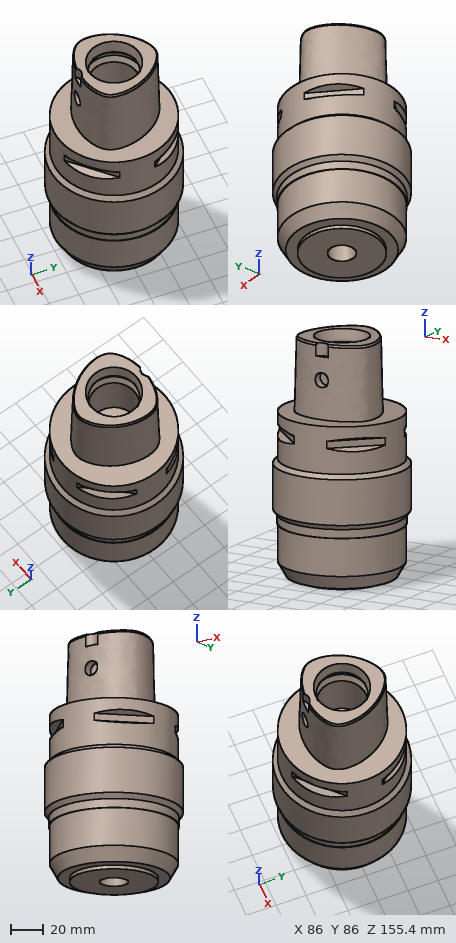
import cadquery as cq
import math

TOTAL_HEIGHT = 155.4
NOSE_TOP = 2.5
LOWER_TAPER_TOP = 11.5
RING_BOTTOM = 35.9
RING_TOP = 41.6
COLLAR_BOTTOM = 44.9
COLLAR_TOP = 74.1
FLANGE_BOTTOM = 77.0
SHANK_LENGTH = 48.2
SHANK_BOTTOM = TOTAL_HEIGHT - SHANK_LENGTH

NOSE_DIAMETER = 55.0
LOWER_TAPER_DIAMETER = 69.6
FLANGE_DIAMETER = 79.9
RING_DIAMETER = 80.8
COLLAR_DIAMETER = 86.0

SHANK_RADIUS = 27.5
LOBE_HEIGHT = 2.0
SHANK_TAPER = 1 / 40
RIM_HEIGHT = 1.4
RIM_INSET = 0.8
OUTLINE_POINTS = 48

MOUTH_DIAMETER = 35.1
BORE_DIAMETER = 32.0
UNDERCUT_DIAMETER = 37.0
THROUGH_DIAMETER = 17.9
MOUTH_DEPTH = 6.4
LAND_DEPTH = 8.0
UNDERCUT_TOP_DEPTH = 11.2
UNDERCUT_BOTTOM_DEPTH = 13.7
LOWER_BORE_DEPTH = 17.1
BORE_DEPTH = SHANK_LENGTH

NOTCH_RADIUS = 5.7
NOTCH_HEIGHT = 8.1
NOTCH_REACH = 21.9
SIDE_HOLE_DIAMETER = 9.3
SIDE_HOLE_DROP = 23.0
SIDE_HOLE_REACH = 18.6

GROOVE_COUNT = 4
FLOOR_DISTANCE = 35.3
FLOOR_HEIGHT = 4.5
GROOVE_MOUTH_HEIGHT = 8.5
GROOVE_LEVEL = 95.4


def revolve_profile(profile):
    """Turn a closed (radius, height) outline about the Z axis."""
    return cq.Workplane("XZ").polyline(profile).close().revolve(360, (0, 0), (0, 1))


def make_body():
    """Turned body below the shank, as a revolved half profile."""
    profile = [
        (0, 0),
        (NOSE_DIAMETER / 2, 0),
        (NOSE_DIAMETER / 2, NOSE_TOP),
        (LOWER_TAPER_DIAMETER / 2, NOSE_TOP),
        (FLANGE_DIAMETER / 2, LOWER_TAPER_TOP),
        (FLANGE_DIAMETER / 2, RING_BOTTOM),
        (RING_DIAMETER / 2, RING_BOTTOM),
        (RING_DIAMETER / 2, RING_TOP),
        (COLLAR_DIAMETER / 2, COLLAR_BOTTOM),
        (COLLAR_DIAMETER / 2, COLLAR_TOP),
        (FLANGE_DIAMETER / 2, FLANGE_BOTTOM),
        (FLANGE_DIAMETER / 2, SHANK_BOTTOM),
        (0, SHANK_BOTTOM),
    ]
    return revolve_profile(profile)


def lobed_wire(mean_radius, level):
    """Constant-width three-lobed curve with one lobe towards +Y."""
    points = []
    for i in range(OUTLINE_POINTS):
        angle = 2 * math.pi * i / OUTLINE_POINTS
        support = mean_radius - LOBE_HEIGHT * math.sin(3 * angle)
        slope = -3 * LOBE_HEIGHT * math.cos(3 * angle)
        x = support * math.cos(angle) - slope * math.sin(angle)
        y = support * math.sin(angle) + slope * math.cos(angle)
        points.append(cq.Vector(x, y, level))
    return cq.Wire.assembleEdges([cq.Edge.makeSpline(points, periodic=True)])


def make_shank():
    rim_level = TOTAL_HEIGHT - RIM_HEIGHT
    rim_radius = SHANK_RADIUS - SHANK_TAPER * (rim_level - SHANK_BOTTOM)
    base = lobed_wire(SHANK_RADIUS, SHANK_BOTTOM)
    rim = lobed_wire(rim_radius, rim_level)
    top = lobed_wire(rim_radius - RIM_INSET, TOTAL_HEIGHT)
    taper = cq.Solid.makeLoft([base, rim], True)
    chamfer = cq.Solid.makeLoft([rim, top], True)
    return cq.Workplane(taper).union(cq.Workplane(chamfer))


def make_bore():
    """Revolved half profile of the cavity, running the full height of the part."""
    stations = [
        (MOUTH_DIAMETER, 0),
        (BORE_DIAMETER, MOUTH_DEPTH),
        (BORE_DIAMETER, LAND_DEPTH),
        (UNDERCUT_DIAMETER, UNDERCUT_TOP_DEPTH),
        (UNDERCUT_DIAMETER, UNDERCUT_BOTTOM_DEPTH),
        (BORE_DIAMETER, LOWER_BORE_DEPTH),
        (BORE_DIAMETER, BORE_DEPTH),
        (THROUGH_DIAMETER, BORE_DEPTH),
        (THROUGH_DIAMETER, TOTAL_HEIGHT),
    ]
    profile = [(diameter / 2, TOTAL_HEIGHT - depth) for diameter, depth in stations]
    profile = [(0, TOTAL_HEIGHT)] + profile + [(0, 0)]
    return revolve_profile(profile)


def make_notch():
    return (
        cq.Workplane("XY")
        .workplane(offset=TOTAL_HEIGHT - NOTCH_HEIGHT)
        .center(0, -NOTCH_REACH - NOTCH_RADIUS)
        .circle(NOTCH_RADIUS)
        .extrude(NOTCH_HEIGHT)
    )


def make_side_hole():
    """Blind, flat-bottomed radial hole in the -Y side."""
    hole_level = TOTAL_HEIGHT - SIDE_HOLE_DROP
    return (
        cq.Workplane("XZ", origin=(0, -SIDE_HOLE_REACH, 0))
        .center(0, hole_level)
        .circle(SIDE_HOLE_DIAMETER / 2)
        .extrude(FLANGE_DIAMETER / 2)
    )


def make_gripper_groove():
    """Flared groove across the +X side, with its cross-section in the XZ plane."""
    mouth_distance = FLANGE_DIAMETER / 2
    section = [
        (FLOOR_DISTANCE, GROOVE_LEVEL - FLOOR_HEIGHT / 2),
        (mouth_distance, GROOVE_LEVEL - GROOVE_MOUTH_HEIGHT / 2),
        (mouth_distance, GROOVE_LEVEL + GROOVE_MOUTH_HEIGHT / 2),
        (FLOOR_DISTANCE, GROOVE_LEVEL + FLOOR_HEIGHT / 2),
    ]
    return cq.Workplane("XZ").polyline(section).close().extrude(FLANGE_DIAMETER / 2, both=True)


result = make_body().union(make_shank())
result = result.cut(make_bore()).cut(make_notch()).cut(make_side_hole())

groove_spacing = 360 / GROOVE_COUNT
for index in range(GROOVE_COUNT):
    groove_angle = (index + 0.5) * groove_spacing
    result = result.cut(make_gripper_groove().rotate((0, 0, 0), (0, 0, 1), groove_angle))